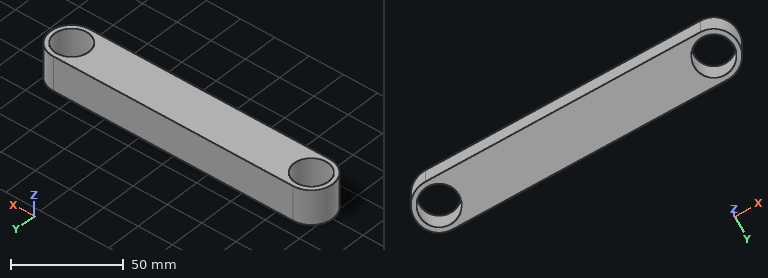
import cadquery as cq

length = 165.0
width = 25.0
height = 20.0
hole_diameter = 20.0

hole_spacing = length - width

bar = cq.Workplane("XY").slot2D(length, width).extrude(height)

result = (
    bar.faces(">Z")
    .workplane(origin=(0, 0, height))
    .pushPoints([(-hole_spacing / 2, 0), (hole_spacing / 2, 0)])
    .hole(hole_diameter)
)